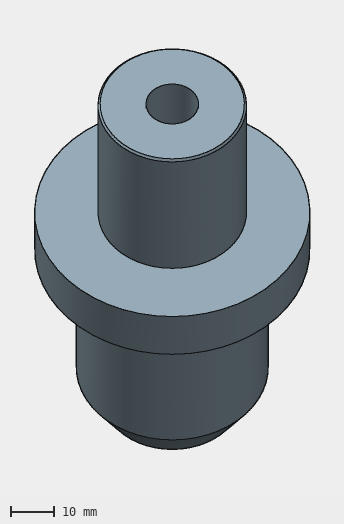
import cadquery as cq
import math

total_height = 103.0
flange_bottom_z = 50.0
flange_top_z = 65.0

shank_diameter = 34.0
flange_diameter = 63.0
body_diameter = 44.0
nose_diameter = 32.0
bore_diameter = 12.0

nose_half_angle = 30.0
flange_underside_angle = 10.0
shank_chamfer = 0.5

shank_radius = shank_diameter / 2
flange_radius = flange_diameter / 2
body_radius = body_diameter / 2
nose_radius = nose_diameter / 2

nose_height = (body_radius - nose_radius) / math.tan(math.radians(nose_half_angle))
underside_rise = (flange_radius - body_radius) * math.tan(math.radians(flange_underside_angle))


def turned_pin():
    """Solid of revolution about Z: tapered nose, body, flange and upper shank."""
    half_section = [
        (0, 0),
        (nose_radius, 0),
        (body_radius, nose_height),
        (body_radius, flange_bottom_z),
        (flange_radius, flange_bottom_z + underside_rise),
        (flange_radius, flange_top_z),
        (shank_radius, flange_top_z),
        (shank_radius, total_height - shank_chamfer),
        (shank_radius - shank_chamfer, total_height),
        (0, total_height),
    ]
    points = [(-radius, height) for radius, height in half_section]
    return cq.Workplane("YZ").polyline(points).close().revolve(360, (0, 0, 0), (0, 1, 0))


def through_bore():
    """Cylinder along the axis through the full height."""
    return cq.Workplane("XY").circle(bore_diameter / 2).extrude(total_height)


result = turned_pin().cut(through_bore())